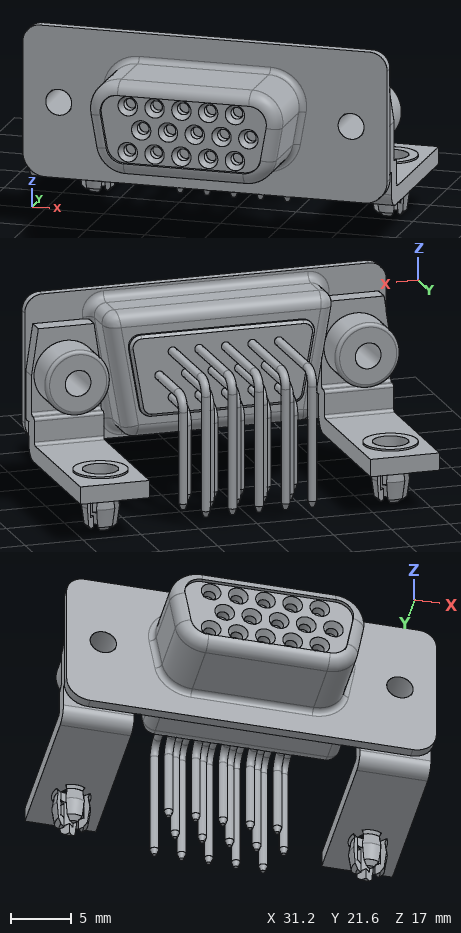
import cadquery as cq
import math

BLEND = 0.03

FLANGE_WIDTH = 31.2
FLANGE_HEIGHT = 12.95
FLANGE_THICKNESS = 0.8
FLANGE_TOP_RADIUS = 1.5
FLANGE_BOTTOM_RADIUS = 2.0
MOUNT_X = 12.5
MOUNT_HOLE_DIAMETER = 2.2

D_SLANT = math.radians(10)
SHELL_LENGTH = 6.3
SHELL_HALF_WIDTH = 8.2
SHELL_HALF_HEIGHT = 4.0
SHELL_CORNER_RADIUS = 2.6
SHELL_ROOT_FILLET = 0.5
SHELL_LIP_RADIUS = 1.1
FACE_RECESS = 0.3

HOUSING_HALF_WIDTH = 9.85
HOUSING_HALF_HEIGHT = 5.45
HOUSING_CORNER_RADIUS = 1.03
HOUSING_BACK_Y = 4.9
HOUSING_BACK_FILLET = 1.22
HOUSING_ROOT_FILLET = 0.78
PLATE_HALF_WIDTH = 8.0
PLATE_HALF_HEIGHT = 3.52
PLATE_CORNER_RADIUS = 1.0
PLATE_BACK_Y = 5.4
PLATE_CHAMFER = 0.25

COLUMNS = 5
ROW_LENGTH = 9.17
COLUMN_PITCH = ROW_LENGTH / (COLUMNS - 1)
OUTER_ROW_X = -0.25
MIDDLE_ROW_X = OUTER_ROW_X + COLUMN_PITCH / 2
ROW_PITCH = 1.95
SOCKET_MOUTH_DIAMETER = 1.65
SOCKET_BORE_DIAMETER = 1.0
SOCKET_CONE_DEPTH = 0.55
SOCKET_DEPTH = 1.25
PIN_DIAMETER = 0.75
PIN_TIP_DIAMETER = 0.37
PIN_TIP_LENGTH = 0.53
PIN_BEND_RADIUS = 1.25
PIN_BOTTOM_Z = -9.65
FIRST_LEG_Y = 9.23
LEG_PITCH = 2.53

BRACKET_WIDTH = 6.0
BRACKET_TOP_WIDTH = 4.8
BRACKET_TOP_Z = 4.0
UPRIGHT_BACK_Y = 2.3
JOG_TOP_Z = -3.4
JOG_BOTTOM_Z = -4.15
JOG_FRONT_Y = 1.55
JOG_BACK_Y = 3.1
FOOT_TOP_Z = -5.75
FOOT_BOTTOM_Z = -7.25
FOOT_BACK_Y = 15.3
BEND_OUTER_RADIUS = 1.2
BRACKET_CORNER_RADIUS = 0.28
BARREL_DIAMETER = 5.55
BARREL_BACK_Y = 5.5
BARREL_FILLET = 0.3

LOCK_Y = 11.45
LOCK_RIM_DIAMETER = 4.55
LOCK_RIM_HEIGHT = 0.15
LOCK_MOUTH_RADIUS = 1.5
LOCK_MOUTH_DEPTH = 1.0
LOCK_BORE_RADIUS = 1.03
LOCK_COLLAR_RADIUS = 1.62
LOCK_NECK_RADIUS = 1.45
LOCK_NECK_Z = -7.52
LOCK_BULGE_RADIUS = 1.6
LOCK_BULGE_Z = -8.65
LOCK_SHOULDER_RADIUS = 1.37
LOCK_SHOULDER_Z = -10.2
LOCK_TIP_RADIUS = 1.0
LOCK_BOTTOM_Z = -10.57
LOCK_LEDGE_Z = -9.58
LOCK_SLOT_WIDTH = 0.85


def xz_plane(y):
    """Workplane at depth y whose extrusions run to the rear (+Y); local x is -X."""
    return cq.Workplane(cq.Plane((0, y, 0), xDir=(-1, 0, 0), normal=(0, 1, 0)))


def d_block(half_width, half_height, radius, y_front, y_back):
    """Prism with a rounded D outline, widest near the top, whose sides lean in towards the bottom."""
    z = half_height - radius
    x_top = half_width - radius
    x_bottom = x_top - 2 * z * math.tan(D_SLANT)
    centres = [(-x_top, z), (x_top, z), (x_bottom, -z), (-x_bottom, -z)]
    return xz_plane(y_front).polyline(centres).close().offset2D(radius).extrude(y_back - y_front)


def cylinder_y(x, z, diameter, y_front, y_back):
    return xz_plane(y_front).center(-x, z).circle(diameter / 2).extrude(y_back - y_front)


def root_edges(y):
    """Selector for edges lying in the flange face at depth y, inside the flange outline."""
    half_width = FLANGE_WIDTH / 2 - BLEND
    half_height = FLANGE_HEIGHT / 2 - BLEND
    return cq.selectors.BoxSelector(
        (-half_width, y - BLEND, -half_height),
        (half_width, y + BLEND, half_height),
        boundingbox=True,
    )


def make_flange():
    plate = xz_plane(0).rect(FLANGE_WIDTH, FLANGE_HEIGHT).extrude(FLANGE_THICKNESS)
    plate = plate.edges("|Y and >Z").fillet(FLANGE_TOP_RADIUS)
    return plate.edges("|Y and <Z").fillet(FLANGE_BOTTOM_RADIUS)


def make_flanged_shell():
    """Flange and front shell, with a rolled lip around the recessed socket face."""
    shell = d_block(SHELL_HALF_WIDTH, SHELL_HALF_HEIGHT, SHELL_CORNER_RADIUS, -SHELL_LENGTH, BLEND)
    shell = shell.faces("<Y").edges().fillet(SHELL_LIP_RADIUS)
    opening = d_block(
        SHELL_HALF_WIDTH - SHELL_LIP_RADIUS,
        SHELL_HALF_HEIGHT - SHELL_LIP_RADIUS,
        SHELL_CORNER_RADIUS - SHELL_LIP_RADIUS,
        -SHELL_LENGTH,
        -SHELL_LENGTH + FACE_RECESS,
    )
    body = make_flange().union(shell)
    return body.edges(root_edges(0)).fillet(SHELL_ROOT_FILLET).cut(opening)


def add_housing(body):
    """Rear housing with rounded back edges, plus the insulator plate behind it."""
    housing = d_block(
        HOUSING_HALF_WIDTH,
        HOUSING_HALF_HEIGHT,
        HOUSING_CORNER_RADIUS,
        FLANGE_THICKNESS - BLEND,
        HOUSING_BACK_Y,
    )
    housing = housing.faces(">Y").edges().fillet(HOUSING_BACK_FILLET)
    body = body.union(housing).edges(root_edges(FLANGE_THICKNESS)).fillet(HOUSING_ROOT_FILLET)
    plate = d_block(
        PLATE_HALF_WIDTH,
        PLATE_HALF_HEIGHT,
        PLATE_CORNER_RADIUS,
        HOUSING_BACK_Y - BLEND,
        PLATE_BACK_Y,
    )
    return body.union(plate.faces(">Y").edges().chamfer(PLATE_CHAMFER))


def make_bracket():
    """L bracket with a jogged upright and a rear barrel, centred on X = 0."""
    profile = [
        (FLANGE_THICKNESS, BRACKET_TOP_Z),
        (UPRIGHT_BACK_Y, BRACKET_TOP_Z),
        (UPRIGHT_BACK_Y, JOG_TOP_Z),
        (JOG_BACK_Y, JOG_TOP_Z),
        (JOG_BACK_Y, FOOT_TOP_Z),
        (FOOT_BACK_Y, FOOT_TOP_Z),
        (FOOT_BACK_Y, FOOT_BOTTOM_Z),
        (JOG_FRONT_Y, FOOT_BOTTOM_Z),
        (JOG_FRONT_Y, JOG_BOTTOM_Z),
        (FLANGE_THICKNESS, JOG_BOTTOM_Z),
    ]
    bracket = cq.Workplane("YZ").polyline(profile).close().extrude(BRACKET_WIDTH / 2, both=True)
    outer_bend = cq.selectors.NearestToPointSelector((0, JOG_FRONT_Y, FOOT_BOTTOM_Z))
    bracket = bracket.edges(outer_bend).fillet(BEND_OUTER_RADIUS)
    jog_and_foot_corners = [
        (JOG_BACK_Y, FOOT_TOP_Z),
        (UPRIGHT_BACK_Y, JOG_TOP_Z),
        (JOG_BACK_Y, JOG_TOP_Z),
    ]
    for y, z in jog_and_foot_corners:
        corner = cq.selectors.NearestToPointSelector((0, y, z))
        bracket = bracket.edges(corner).fillet(BRACKET_CORNER_RADIUS)

    half = BRACKET_WIDTH / 2
    half_top = BRACKET_TOP_WIDTH / 2
    tapered_outline = [
        (-half, FOOT_BOTTOM_Z),
        (half, FOOT_BOTTOM_Z),
        (half, 0),
        (half_top, BRACKET_TOP_Z),
        (-half_top, BRACKET_TOP_Z),
        (-half, 0),
    ]
    bracket = bracket.intersect(xz_plane(0).polyline(tapered_outline).close().extrude(FOOT_BACK_Y))
    barrel = cylinder_y(0, 0, BARREL_DIAMETER, FLANGE_THICKNESS, BARREL_BACK_Y)
    return bracket.union(barrel.faces(">Y").edges().fillet(BARREL_FILLET))


def make_board_lock():
    """Turned lock with four sprung prongs, on the Z axis; returns the body and its stepped bore."""
    rim_radius = LOCK_RIM_DIAMETER / 2
    rim_top_z = FOOT_TOP_Z + LOCK_RIM_HEIGHT
    cone_top_z = rim_top_z - LOCK_MOUTH_DEPTH
    cone_bottom_z = cone_top_z - (LOCK_MOUTH_RADIUS - LOCK_BORE_RADIUS)
    outside = [
        (0, rim_top_z),
        (rim_radius, rim_top_z),
        (rim_radius, FOOT_TOP_Z - BLEND),
        (LOCK_COLLAR_RADIUS, FOOT_TOP_Z - BLEND),
        (LOCK_COLLAR_RADIUS, FOOT_BOTTOM_Z),
        (LOCK_NECK_RADIUS, LOCK_NECK_Z),
        (LOCK_BULGE_RADIUS, LOCK_BULGE_Z),
        (LOCK_SHOULDER_RADIUS, LOCK_SHOULDER_Z),
        (LOCK_TIP_RADIUS, LOCK_BOTTOM_Z),
        (0, LOCK_BOTTOM_Z),
    ]
    bore_profile = [
        (0, rim_top_z),
        (LOCK_MOUTH_RADIUS, rim_top_z),
        (LOCK_MOUTH_RADIUS, cone_top_z),
        (LOCK_BORE_RADIUS, cone_bottom_z),
        (LOCK_BORE_RADIUS, LOCK_LEDGE_Z),
        (0, LOCK_LEDGE_Z),
    ]
    lock = cq.Workplane("XZ").polyline(outside).close().revolve(360, (0, 0), (0, 1))
    bore = cq.Workplane("XZ").polyline(bore_profile).close().revolve(360, (0, 0), (0, 1))
    slot = (
        cq.Workplane("XY", origin=(0, 0, LOCK_BOTTOM_Z))
        .rect(2 * rim_radius, LOCK_SLOT_WIDTH)
        .extrude(FOOT_BOTTOM_Z - LOCK_BOTTOM_Z)
    )
    for angle in (45, 135):
        lock = lock.cut(slot.rotate((0, 0, 0), (0, 0, 1), angle))
    return lock, bore


def make_pin(x, z, leg_y):
    """Round pin running back from the insulator, bent down to a tapered tip."""
    bend_y = leg_y - PIN_BEND_RADIUS
    bend_z = z - PIN_BEND_RADIUS
    tip_top_z = PIN_BOTTOM_Z + PIN_TIP_LENGTH
    tail = cylinder_y(x, z, PIN_DIAMETER, PLATE_BACK_Y - BLEND, bend_y)
    bend = (
        cq.Workplane("XZ", origin=(x, bend_y, z))
        .circle(PIN_DIAMETER / 2)
        .revolve(90, (0.3, -PIN_BEND_RADIUS), (0, -PIN_BEND_RADIUS))
    )
    leg = (
        cq.Workplane("XY", origin=(x, leg_y, tip_top_z))
        .circle(PIN_DIAMETER / 2)
        .extrude(bend_z - tip_top_z)
    )
    tip = (
        cq.Workplane("XY", origin=(x, leg_y, PIN_BOTTOM_Z))
        .circle(PIN_TIP_DIAMETER / 2)
        .workplane(offset=PIN_TIP_LENGTH)
        .circle(PIN_DIAMETER / 2)
        .loft()
    )
    return tail.union(bend).union(leg).union(tip)


def make_socket(x, z):
    """Cutter for one contact opening: a conical mouth and a blind bore."""
    face_y = FACE_RECESS - SHELL_LENGTH
    profile = [
        (0, face_y),
        (SOCKET_MOUTH_DIAMETER / 2, face_y),
        (SOCKET_BORE_DIAMETER / 2, face_y + SOCKET_CONE_DEPTH),
        (SOCKET_BORE_DIAMETER / 2, face_y + SOCKET_DEPTH),
        (0, face_y + SOCKET_DEPTH),
    ]
    cutter = cq.Workplane("XY").polyline(profile).close().revolve(360, (0, 0), (0, 1))
    return cutter.translate((x, 0, z))


result = add_housing(make_flanged_shell())

for mount_x in (-MOUNT_X, MOUNT_X):
    lock, lock_bore = make_board_lock()
    result = result.union(make_bracket().translate((mount_x, 0, 0)))
    result = result.union(lock.translate((mount_x, LOCK_Y, 0)))
    result = result.cut(lock_bore.translate((mount_x, LOCK_Y, 0)))
    result = result.cut(cylinder_y(mount_x, 0, MOUNT_HOLE_DIAMETER, 0, BARREL_BACK_Y))

for row, row_x in enumerate((OUTER_ROW_X, MIDDLE_ROW_X, OUTER_ROW_X)):
    row_z = (row - 1) * ROW_PITCH
    row_leg_y = FIRST_LEG_Y + row * LEG_PITCH
    for column in range(COLUMNS):
        contact_x = row_x + (column - (COLUMNS - 1) / 2) * COLUMN_PITCH
        result = result.cut(make_socket(contact_x, row_z))
        result = result.union(make_pin(contact_x, row_z, row_leg_y))